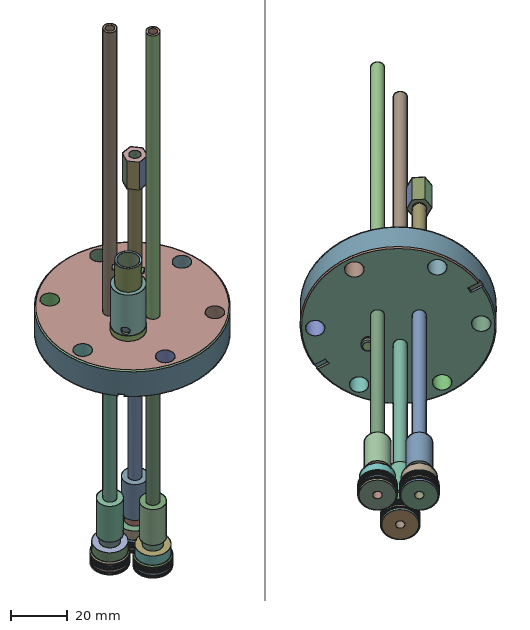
import cadquery as cq
import math

flange_diameter = 69.2
flange_thickness = 12.5
flange_chamfer = 0.5
bolt_circle_diameter = 58.6
bolt_hole_diameter = 6.8
bolt_count = 6
bolt_pitch_angle = 360 / bolt_count
bolt_start_angle = 32.6
leak_groove_width = 2.3
leak_groove_depth = 1.3
leak_groove_length = 5.0

total_height = 251.7
drop_below_flange = 105.7
bottom_z = -drop_below_flange
top_z = total_height - drop_below_flange
tube_diameter = 5.0
tube_bore_diameter = 3.3
nut_tube_position = (-4.8, 7.3)
right_tube_position = (8.5, 1.0)
front_tube_position = (-4.3, -7.3)
tube_positions = [nut_tube_position, right_tube_position, front_tube_position]

nut_width_across_flats = 7.8
nut_length = 13.0
nut_top_z = flange_thickness + 63.7
nut_bore_diameter = 4.3

plug_body_diameter = 9.5
plug_neck_diameter = 7.5
plug_collar_diameter = 12.8
plug_ring_diameter = 14.0
plug_body_top = 30.7
plug_neck_top = 13.8
plug_collar_top = 10.3
plug_ring_top = 6.0
ring_chamfer = 0.5
ring_groove_depth = 0.3
ring_groove_width = 0.8
ring_groove_heights = [0.8, 2.8, 4.3]

connector_position = (6.8, -10.5)
connector_base_diameter = 12.8
connector_base_height = 2.5
connector_body_diameter = 12.5
connector_body_top = 21.6
socket_diameter = 9.5
socket_top = 32.7
socket_bore_diameter = 8.0
insulator_diameter = 5.0
insulator_recess = 7.0
contact_hole_diameter = 0.95
bayonet_pin_diameter = 2.05
bayonet_pin_span = 11.3
bayonet_pin_height = 28.5
bayonet_pin_angle = 30.0
screw_hole_diameter = 3.3
screw_hole_depth = 1.0
screw_hole_height = 4.8
stub_diameter = 4.8
stub_neck_diameter = 3.8
stub_neck_length = 0.8
stub_length = 3.3
stub_chamfer = 0.5


def cylinder(position, diameter, z_low, z_high):
    """Upright cylinder between two heights."""
    x, y = position
    return cq.Workplane("XY", origin=(x, y, z_low)).circle(diameter / 2).extrude(z_high - z_low)


def radial_cylinder(position, angle, z, diameter, r_start, r_end):
    """Level cylinder along a ray that leaves a vertical axis at the given angle."""
    direction = cq.Vector(math.cos(math.radians(angle)), math.sin(math.radians(angle)), 0)
    start = cq.Vector(position[0], position[1], z) + direction * r_start
    solid = cq.Solid.makeCylinder(diameter / 2, r_end - r_start, start, direction)
    return cq.Workplane(obj=solid)


def make_flange():
    body = cylinder((0, 0), flange_diameter, 0, flange_thickness).edges().chamfer(flange_chamfer)
    holes = (
        cq.Workplane("XY")
        .polarArray(bolt_circle_diameter / 2, bolt_start_angle, 360, bolt_count)
        .circle(bolt_hole_diameter / 2)
        .extrude(flange_thickness)
    )
    body = body.cut(holes)
    first_groove_angle = bolt_start_angle - 1.5 * bolt_pitch_angle
    for angle in (first_groove_angle, first_groove_angle + 180):
        groove = (
            cq.Workplane("XY")
            .center(flange_diameter / 2, 0)
            .rect(2 * leak_groove_length, leak_groove_width)
            .extrude(leak_groove_depth)
            .rotate((0, 0, 0), (0, 0, 1), angle)
        )
        body = body.cut(groove)
    return body


def make_plug(position):
    body = cylinder(position, plug_body_diameter, bottom_z + plug_neck_top, bottom_z + plug_body_top)
    neck = cylinder(position, plug_neck_diameter, bottom_z + plug_collar_top, bottom_z + plug_neck_top)
    collar = cylinder(position, plug_collar_diameter, bottom_z + plug_ring_top, bottom_z + plug_collar_top)
    ring = cylinder(position, plug_ring_diameter, bottom_z, bottom_z + plug_ring_top)
    ring = ring.edges().chamfer(ring_chamfer)
    for height in ring_groove_heights:
        low = bottom_z + height
        high = low + ring_groove_width
        core_diameter = plug_ring_diameter - 2 * ring_groove_depth
        groove = cylinder(position, plug_ring_diameter, low, high).cut(
            cylinder(position, core_diameter, low, high)
        )
        ring = ring.cut(groove)
    return ring.union(collar).union(neck).union(body)


def make_nut():
    x, y = nut_tube_position
    width_across_corners = nut_width_across_flats / math.cos(math.radians(30))
    nut = (
        cq.Workplane("XY")
        .polygon(6, width_across_corners)
        .extrude(nut_length)
        .rotate((0, 0, 0), (0, 0, 1), 30)
    )
    return nut.translate((x, y, nut_top_z - nut_length))


def make_connector():
    base_z = flange_thickness
    base = cylinder(connector_position, connector_base_diameter, base_z, base_z + connector_base_height)
    body = cylinder(
        connector_position,
        connector_body_diameter,
        base_z + connector_base_height,
        base_z + connector_body_top,
    )
    socket = cylinder(
        connector_position, socket_diameter, base_z + connector_body_top, base_z + socket_top
    )
    pin_z = base_z + bayonet_pin_height
    connector = base.union(body).union(socket)
    for angle in (bayonet_pin_angle, bayonet_pin_angle + 180):
        pin = radial_cylinder(connector_position, angle, pin_z, bayonet_pin_diameter, 0, bayonet_pin_span / 2)
        connector = connector.union(pin)

    bore = cylinder(
        connector_position, socket_bore_diameter, base_z + connector_body_top, base_z + socket_top
    )
    insulator_top = base_z + socket_top - insulator_recess
    insulator = cylinder(
        connector_position, insulator_diameter, base_z + connector_body_top, insulator_top
    )
    contact_hole = cylinder(
        connector_position, contact_hole_diameter, base_z + connector_body_top, insulator_top
    )
    connector = connector.cut(bore).union(insulator).cut(contact_hole)

    body_radius = connector_body_diameter / 2
    screw_hole = radial_cylinder(
        connector_position,
        bayonet_pin_angle - 90,
        base_z + screw_hole_height,
        screw_hole_diameter,
        body_radius - screw_hole_depth,
        body_radius,
    )
    connector = connector.cut(screw_hole)

    stub_neck = cylinder(connector_position, stub_neck_diameter, -stub_neck_length, 0)
    stub = cylinder(connector_position, stub_diameter, -stub_length, -stub_neck_length)
    stub = stub.edges().chamfer(stub_chamfer)
    return connector.union(stub_neck).union(stub)


result = make_flange().union(make_connector()).union(make_nut())

for position in tube_positions:
    tube_top = nut_top_z if position == nut_tube_position else top_z
    result = result.union(cylinder(position, tube_diameter, bottom_z, tube_top))
    result = result.union(make_plug(position))

for position in tube_positions:
    result = result.cut(cylinder(position, tube_bore_diameter, bottom_z, top_z))

result = result.cut(cylinder(nut_tube_position, nut_bore_diameter, nut_top_z - nut_length, nut_top_z))